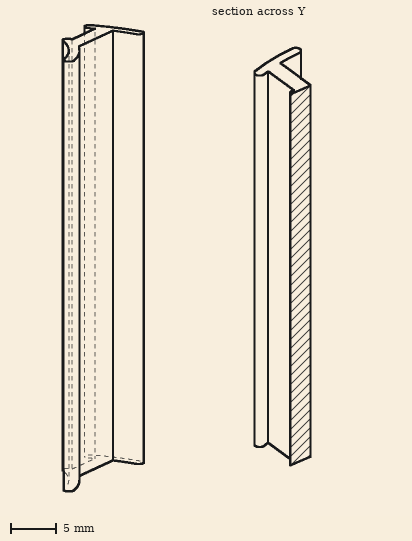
import cadquery as cq
import math

width = 7.0
depth = 14.0
length = 50.0

wall = 1.2
end_radius = wall / 2

flange_left = (end_radius, 12.42)
flange_right = (width - end_radius, depth - end_radius)
flange_bow = 0.2
lip_top = (1.3, 6.8)
lip_tip = (5.4, end_radius)
lip_bow = 0.65

stem_left = 1.5
stem_right = 3.58


def arc_circle(start, end, bow):
    """Centre and radius of an arc bowed to the left of the start-to-end direction."""
    chord_x = end[0] - start[0]
    chord_y = end[1] - start[1]
    chord = math.hypot(chord_x, chord_y)
    radius = chord ** 2 / (8 * bow) + bow / 2
    offset = (radius - bow) / chord
    centre_x = (start[0] + end[0]) / 2 + chord_y * offset
    centre_y = (start[1] + end[1]) / 2 - chord_x * offset
    return (centre_x, centre_y), radius


def polar(centre, radius, angle):
    """Point at a radius and angle from a centre."""
    return (centre[0] + radius * math.cos(angle), centre[1] + radius * math.sin(angle))


def curved_wall(start, end, bow):
    """Extruded curved wall of constant thickness with rounded ends."""
    centre, radius = arc_circle(start, end, bow)
    start_angle = math.atan2(start[1] - centre[1], start[0] - centre[0])
    end_angle = math.atan2(end[1] - centre[1], end[0] - centre[0])
    middle_angle = (start_angle + end_angle) / 2
    outer = radius + end_radius
    inner = radius - end_radius
    start_cap = polar(start, end_radius, start_angle + math.pi / 2)
    end_cap = polar(end, end_radius, end_angle - math.pi / 2)
    return (
        cq.Workplane("XY")
        .moveTo(*polar(centre, outer, start_angle))
        .threePointArc(polar(centre, outer, middle_angle), polar(centre, outer, end_angle))
        .threePointArc(end_cap, polar(centre, inner, end_angle))
        .threePointArc(polar(centre, inner, middle_angle), polar(centre, inner, start_angle))
        .threePointArc(start_cap, polar(centre, outer, start_angle))
        .close()
        .extrude(length)
    )


def arc_point(x, start, end, bow):
    """Point on the upper side of a wall's centre line at a given x."""
    centre, radius = arc_circle(start, end, bow)
    return (x, centre[1] + math.sqrt(radius ** 2 - (x - centre[0]) ** 2))


def stem():
    """Straight web whose ends lie on the centre lines of the two curved walls."""
    flange_line = (flange_left, flange_right, flange_bow)
    lip_line = (lip_top, lip_tip, lip_bow)
    corners = [
        arc_point(stem_left, *lip_line),
        arc_point(stem_right, *lip_line),
        arc_point(stem_right, *flange_line),
        arc_point(stem_left, *flange_line),
    ]
    return cq.Workplane("XY").polyline(corners).close().extrude(length)


flange = curved_wall(flange_left, flange_right, flange_bow)
lip = curved_wall(lip_top, lip_tip, lip_bow)
result = flange.union(stem()).union(lip)